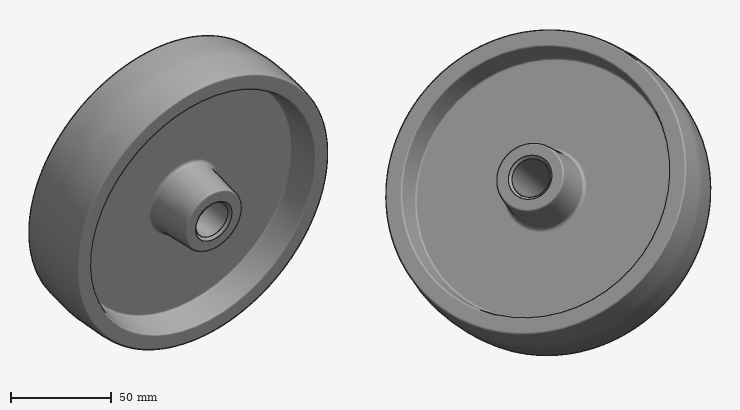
import cadquery as cq
import math

wheel_radius = 80.0
wheel_width = 40.0
crown_drop = 1.6
rim_mouth_radius = 69.8
rim_draft = 8.5
web_thickness = 10.0
hub_length = 58.0
hub_end_radius = 17.6
hub_draft = 6.0
bore_radius = 10.0
bore_chamfer = 1.5
edge_round = 1.0
hub_root_fillet = 2.0

half_width = wheel_width / 2
half_web = web_thickness / 2
half_hub = hub_length / 2
tread_edge_radius = wheel_radius - crown_drop
rim_root_radius = rim_mouth_radius - (half_width - half_web) * math.tan(math.radians(rim_draft))
hub_root_radius = hub_end_radius + (half_hub - half_web) * math.tan(math.radians(hub_draft))


def revolve_about_x(profile):
    return profile.close().revolve(360, (0, 0, 0), (1, 0, 0))


def make_wheel_body():
    """Crowned disc the full width of the wheel, its tread split at the middle plane."""
    crown_arc_radius = (half_width**2 + crown_drop**2) / (2 * crown_drop)
    quarter_drop = crown_arc_radius - math.sqrt(crown_arc_radius**2 - (half_width / 2) ** 2)
    quarter_crown_radius = wheel_radius - quarter_drop
    profile = (
        cq.Workplane("XZ")
        .moveTo(-half_width, 0)
        .lineTo(-half_width, tread_edge_radius)
        .threePointArc((-half_width / 2, quarter_crown_radius), (0, wheel_radius))
        .threePointArc((half_width / 2, quarter_crown_radius), (half_width, tread_edge_radius))
        .lineTo(half_width, 0)
    )
    return revolve_about_x(profile)


def make_recess(side):
    """Tapered recess between rim and web; side is -1 or 1 along X."""
    profile = (
        cq.Workplane("XZ")
        .moveTo(side * half_web, 0)
        .lineTo(side * half_web, rim_root_radius)
        .lineTo(side * half_width, rim_mouth_radius)
        .lineTo(side * half_width, 0)
    )
    return revolve_about_x(profile)


def make_hub(side):
    """Tapered half hub, from the middle plane of the web to the hub end."""
    profile = (
        cq.Workplane("XZ")
        .lineTo(0, hub_root_radius)
        .lineTo(side * half_web, hub_root_radius)
        .lineTo(side * half_hub, hub_end_radius)
        .lineTo(side * half_hub, 0)
    )
    return revolve_about_x(profile)


def ring_edges(part, x, radius):
    """Circular edges of the given radius in the plane at x."""
    reach = radius + edge_round / 2
    inner_reach = radius - edge_round / 2
    outside = cq.selectors.BoxSelector((x - 0.2, -reach, -reach), (x + 0.2, reach, reach), True)
    inside = cq.selectors.BoxSelector(
        (x - 0.2, -inner_reach, -inner_reach), (x + 0.2, inner_reach, inner_reach), True
    )
    return part.edges("%CIRCLE").edges(outside - inside)


wheel = make_wheel_body()
for side in (-1, 1):
    wheel = wheel.cut(make_recess(side)).union(make_hub(side))

for side in (-1, 1):
    wheel = ring_edges(wheel, side * half_width, tread_edge_radius).fillet(edge_round)
    wheel = ring_edges(wheel, side * half_width, rim_mouth_radius).fillet(edge_round)
    wheel = ring_edges(wheel, side * half_web, rim_root_radius).fillet(edge_round)
    wheel = ring_edges(wheel, side * half_web, hub_root_radius).fillet(hub_root_fillet)
    wheel = ring_edges(wheel, side * half_hub, hub_end_radius).fillet(edge_round)

bore_mouth_radius = bore_radius + bore_chamfer
bore_profile = (
    cq.Workplane("XZ")
    .moveTo(-half_hub, 0)
    .lineTo(-half_hub, bore_mouth_radius)
    .lineTo(-half_hub + bore_chamfer, bore_radius)
    .lineTo(half_hub - bore_chamfer, bore_radius)
    .lineTo(half_hub, bore_mouth_radius)
    .lineTo(half_hub, 0)
)
result = wheel.cut(revolve_about_x(bore_profile))